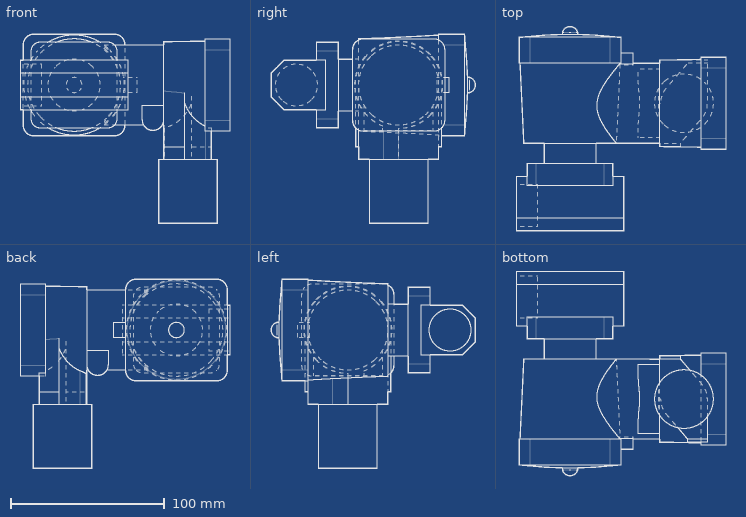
import cadquery as cq
import math


tube_radius = 26.1
tube_end_x = 58.3

lug_radius = 7.0
lug_reach = 29.6
lug_half_depth = 22.4

head_a_half_length = tube_radius
head_a_small_radius = 30.2
head_a_large_radius = 32.6
flange_a_side = 66.4
flange_a_thickness = 17.0
flange_corner_radius = 7.1
dome_radius = 32.1
dome_height = 1.9
knob_radius = 5.0
knob_neck_height = 1.1
knob_cap_height = 4.0
tab_end_x = 41.1
tab_root_y = 24.9
tab_tip_y = 32.8
tab_thickness = 9.5

head_b_length = 26.9
head_b_small_radius = 28.3
head_b_large_radius = 28.7
flange_b_side = 60.1
flange_b_thickness = 16.4

neck_radius = 15.2
neck_half_width = tube_radius
neck_bottom_z = -48.4
shoulder_half_width = 28.0
shoulder_bottom_z = -40.3

pipe_radius = 19.1
pipe_length = 41.7
pipe_x = 74.2

stub_radius = 17.0
stub_length = 13.1
plate_side = 55.9
plate_thickness = 14.3
plate_corner_radius = 5.9
jaw_length = 70.0
jaw_height = 32.2
jaw_depth = 35.5
jaw_overlap = 6.0
jaw_chamfer = 8.3
socket_radius = 13.7
socket_depth = 13.7
socket_edge_distance = 16.5

flange_a_y = head_a_half_length + flange_a_thickness
flange_b_x = tube_end_x + head_b_length
neck_step_x = tube_end_x + head_b_length / 2
plate_back_y = -head_a_half_length - stub_length
plate_front_y = plate_back_y - plate_thickness
jaw_back_y = plate_front_y + jaw_overlap
jaw_front_y = jaw_back_y - jaw_depth


def facing_plus_y(y):
    """Workplane at the given Y, with its normal along +Y and local Y along +Z."""
    return cq.Workplane(cq.Plane((0, y, 0), xDir=(-1, 0, 0), normal=(0, 1, 0)))


def facing_plus_x(x):
    """Workplane at the given X, with its normal along +X."""
    return cq.Workplane("YZ", origin=(x, 0, 0))


def cone(plane, start_radius, end_radius, length):
    """Tapered round body rising from a workplane."""
    taper = math.degrees(math.atan((start_radius - end_radius) / length))
    return plane.circle(start_radius).extrude(length, taper=taper)


def rounded_plate(plane, side, thickness, corner_radius):
    """Square plate with rounded corners rising from a workplane."""
    return plane.sketch().rect(side, side).vertices().fillet(corner_radius).finalize().extrude(thickness)


def spherical_cap(y, base_radius, height):
    """Cap of a sphere, with its round base at the given Y and its top toward +Y."""
    sphere_radius = (base_radius**2 + height**2) / (2 * height)
    sphere = cq.Workplane("XY").sphere(sphere_radius).translate((0, y + height - sphere_radius, 0))
    return facing_plus_y(y).circle(base_radius).extrude(height).intersect(sphere)


def make_dome_and_knob():
    """Shallow dome on the flange of head A, with a round-topped knob in its middle."""
    cap_y = flange_a_y + dome_height + knob_neck_height
    dome = spherical_cap(flange_a_y, dome_radius, dome_height)
    knob_neck = facing_plus_y(flange_a_y).circle(knob_radius).extrude(cap_y - flange_a_y)
    knob_cap = spherical_cap(cap_y, knob_radius, knob_cap_height)
    return dome.union(knob_neck).union(knob_cap)


def make_head_a():
    barrel = cone(
        facing_plus_y(-head_a_half_length),
        head_a_small_radius,
        head_a_large_radius,
        2 * head_a_half_length,
    )
    flange = rounded_plate(
        facing_plus_y(head_a_half_length), flange_a_side, flange_a_thickness, flange_corner_radius
    )
    tab = (
        cq.Workplane("XY")
        .box(tab_end_x, tab_tip_y - tab_root_y, tab_thickness, centered=(False, False, True))
        .translate((0, tab_root_y, 0))
    )
    return barrel.union(flange).union(tab).union(make_dome_and_knob())


def make_link_tube(head_a):
    """Tube with a round-tipped stop lug, its near end shaped to sit on head A."""
    tube = facing_plus_x(0).circle(tube_radius).extrude(tube_end_x)
    lug_x = tube_end_x - lug_radius
    tip_center_z = lug_radius - lug_reach
    lug = (
        cq.Workplane("XZ")
        .moveTo(lug_x - lug_radius, 0)
        .lineTo(lug_x - lug_radius, tip_center_z)
        .threePointArc((lug_x, -lug_reach), (lug_x + lug_radius, tip_center_z))
        .lineTo(lug_x + lug_radius, 0)
        .close()
        .extrude(lug_half_depth, both=True)
    )
    return tube.union(lug).cut(head_a)


def neck_block(outer_distance):
    """Block on the -Y side of a core at the origin, with a flat outer face at X = -outer_distance.

    Its inner face slants from the block corner to the core, which it meets at a tangent.
    """
    step_x = neck_step_x - pipe_x
    corner_distance = math.hypot(step_x, neck_half_width)
    tangent_angle = math.atan2(-neck_half_width, step_x) + math.acos(neck_radius / corner_distance)
    block = (
        cq.Workplane("XY")
        .moveTo(0, 0)
        .lineTo(-outer_distance, 0)
        .lineTo(-outer_distance, -neck_half_width)
        .lineTo(step_x, -neck_half_width)
        .lineTo(neck_radius * math.cos(tangent_angle), neck_radius * math.sin(tangent_angle))
        .close()
        .extrude(neck_bottom_z)
    )
    shoulder = (
        cq.Workplane("XY")
        .box(outer_distance + step_x, shoulder_half_width, -shoulder_bottom_z, centered=False)
        .translate((-outer_distance, -shoulder_half_width, shoulder_bottom_z))
    )
    return block.union(shoulder)


def make_neck():
    """Round core between two opposite blocks, the +Y one turned half a turn about the core."""
    core = cq.Workplane("XY").circle(neck_radius).extrude(neck_bottom_z)
    front_block = neck_block(pipe_x - tube_end_x)
    back_block = neck_block(neck_radius).rotate((0, 0, 0), (0, 0, 1), 180)
    return core.union(front_block).union(back_block).translate((pipe_x, 0, 0))


def make_head_b():
    barrel = cone(facing_plus_x(tube_end_x), head_b_small_radius, head_b_large_radius, head_b_length)
    flange = rounded_plate(
        facing_plus_x(flange_b_x), flange_b_side, flange_b_thickness, flange_corner_radius
    )
    return barrel.union(flange).union(make_neck())


def make_pipe():
    return (
        cq.Workplane("XY", origin=(pipe_x, 0, neck_bottom_z)).circle(pipe_radius).extrude(-pipe_length)
    )


def make_clamp():
    """Stub, square plate and chamfered jaw with a blind socket in its -X end."""
    stub = facing_plus_y(plate_back_y).circle(stub_radius).extrude(stub_length)
    plate = rounded_plate(
        facing_plus_y(plate_front_y), plate_side, plate_thickness, plate_corner_radius
    )
    jaw = (
        cq.Workplane("XY")
        .box(jaw_length, jaw_depth, jaw_height)
        .edges("|X and <Y")
        .chamfer(jaw_chamfer)
        .translate((0, (jaw_back_y + jaw_front_y) / 2, 0))
    )
    socket = (
        cq.Workplane("YZ", origin=(-jaw_length / 2, jaw_front_y + socket_edge_distance, 0))
        .circle(socket_radius)
        .extrude(socket_depth)
    )
    return stub.union(plate).union(jaw).cut(socket)


head_a = make_head_a()
link_tube = make_link_tube(head_a)
head_b = make_head_b()
pipe = make_pipe()
clamp = make_clamp()

result = cq.Compound.makeCompound(
    [head_a.val(), link_tube.val(), head_b.val(), pipe.val(), clamp.val()]
)